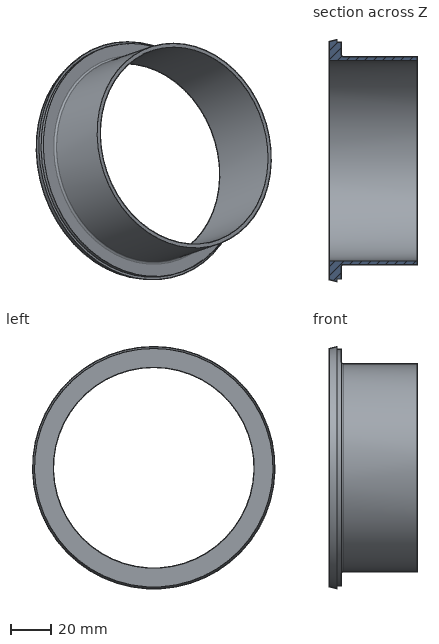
import cadquery as cq

total_length = 44.0
bore_diameter = 100.0
wall_thickness = 2.0

rim_face_diameter = 119.0
rim_max_diameter = 121.0
rim_width = 4.0
step_diameter = 118.4
step_width = 2.1
root_fillet_radius = 1.0

bore_radius = bore_diameter / 2
tube_radius = bore_radius + wall_thickness
flange_width = rim_width + step_width


def ring_profile():
    """Half section of the ring, with X along the axis and Z as the radius."""
    return (
        cq.Workplane("XZ")
        .moveTo(0, bore_radius)
        .lineTo(0, rim_face_diameter / 2)
        .lineTo(rim_width, rim_max_diameter / 2)
        .lineTo(rim_width, step_diameter / 2)
        .lineTo(flange_width, step_diameter / 2)
        .lineTo(flange_width, tube_radius + root_fillet_radius)
        .radiusArc((flange_width + root_fillet_radius, tube_radius), -root_fillet_radius)
        .lineTo(total_length, tube_radius)
        .lineTo(total_length, bore_radius)
        .close()
    )


result = ring_profile().revolve(360, (0, 0, 0), (1, 0, 0))